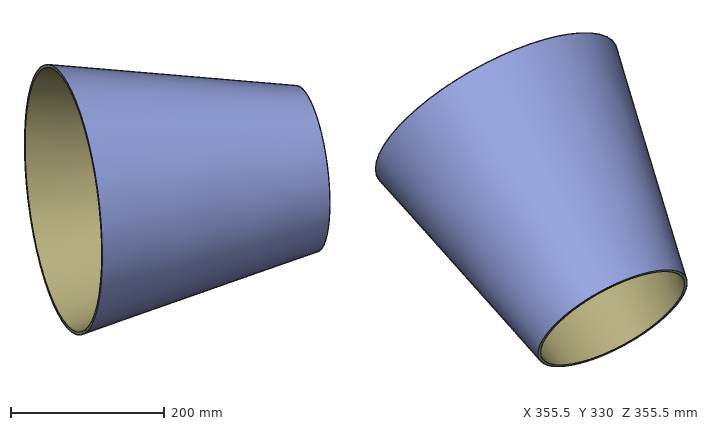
import cadquery as cq

large_diameter = 355.5
small_diameter = 219.0
length = 330.0
wall = 4.0

large_radius = large_diameter / 2
small_radius = small_diameter / 2

wall_section = [
    (large_radius - wall, 0),
    (large_radius, 0),
    (small_radius, length),
    (small_radius - wall, length),
]

result = cq.Workplane("XY").polyline(wall_section).close().revolve(360, (0, 0, 0), (0, 1, 0))